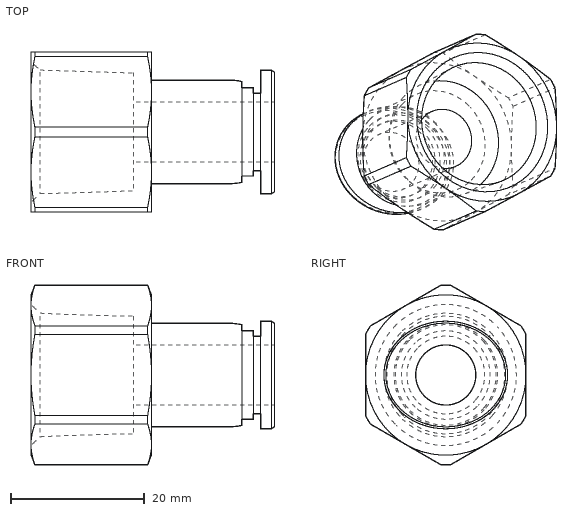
import cadquery as cq


hex_length = 18.0
hex_across_flats = 24.0
hex_across_corners = 26.9
hex_corner_radius = hex_across_corners / 2
end_chamfer_length = 0.6
end_face_radius = hex_across_flats / 2

bore_mouth_radius = 10.55
bore_entry_radius = 9.25
bore_entry_chamfer = bore_mouth_radius - bore_entry_radius
bore_floor_radius = 8.8
thread_taper = 1 / 16
bore_depth = bore_entry_chamfer + 2 * (bore_entry_radius - bore_floor_radius) / thread_taper

barrel_radius = 7.75
barrel_end_radius = 7.55
barrel_straight_end = 30.05
barrel_end = 31.52
collar_radius = 6.62
collar_end = 33.25
neck_radius = 5.82

flange_start = 34.33
total_length = 36.4
flange_half_width_y = 9.25
flange_half_height_z = 8.05
flange_chamfer_length = 0.47
flange_chamfer_inset = 0.3

through_hole_radius = 4.48


def revolve_about_x(points):
    """Turn a closed (x, radius) outline about the X axis."""
    return cq.Workplane("XY").polyline(points).close().revolve(360, (0, 0, 0), (1, 0, 0))


def hex_socket():
    """Hexagon with corners up and down in Z, turned and chamfered at both ends."""
    prism = cq.Workplane("YZ").polygon(6, hex_across_flats, circumscribed=True).extrude(hex_length)
    turned_blank = revolve_about_x([
        (0, 0),
        (0, end_face_radius),
        (end_chamfer_length, hex_corner_radius),
        (hex_length - end_chamfer_length, hex_corner_radius),
        (hex_length, end_face_radius),
        (hex_length, 0),
    ])
    return prism.intersect(turned_blank)


def barrel():
    """Stepped round body from the socket to the flange, with a rounded barrel end."""
    edge_length = barrel_end - barrel_straight_end
    return (
        cq.Workplane("XY")
        .moveTo(hex_length, 0)
        .lineTo(hex_length, barrel_radius)
        .lineTo(barrel_straight_end, barrel_radius)
        .tangentArcPoint((edge_length, barrel_end_radius - barrel_radius))
        .lineTo(barrel_end, collar_radius)
        .lineTo(collar_end, collar_radius)
        .lineTo(collar_end, neck_radius)
        .lineTo(flange_start, neck_radius)
        .lineTo(flange_start, 0)
        .close()
        .revolve(360, (0, 0, 0), (1, 0, 0))
    )


def flange():
    """Elliptical plate, wider in Y, with its outer rim chamfered."""
    return (
        cq.Workplane("YZ", origin=(flange_start, 0, 0))
        .ellipse(flange_half_width_y, flange_half_height_z)
        .extrude(total_length - flange_start)
        .faces(">X")
        .chamfer(flange_chamfer_length, flange_chamfer_inset)
    )


def thread_bore():
    """Tapered blind bore with a conical lead-in at the socket mouth."""
    return revolve_about_x([
        (0, 0),
        (0, bore_mouth_radius),
        (bore_entry_chamfer, bore_entry_radius),
        (bore_depth, bore_floor_radius),
        (bore_depth, 0),
    ])


def through_hole():
    return cq.Workplane("YZ").circle(through_hole_radius).extrude(total_length)


body = hex_socket().union(barrel()).union(flange())
result = body.cut(thread_bore()).cut(through_hole())